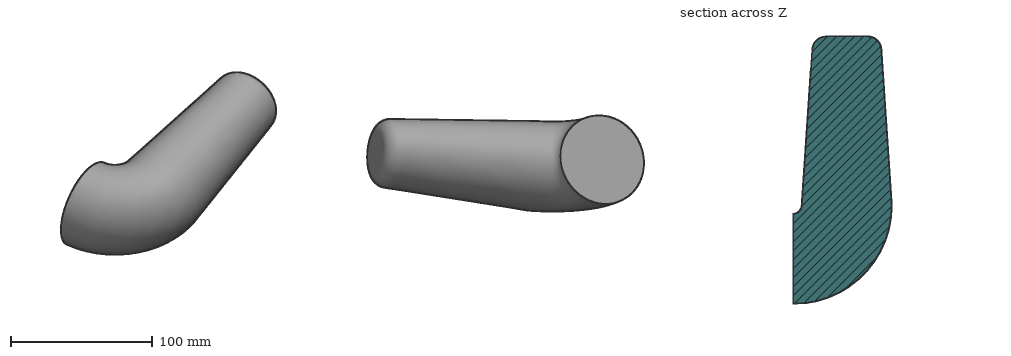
import cadquery as cq
import math

base_diameter = 64.0
tip_diameter = 48.0
inner_bend_radius = 6.0
grip_slant_length = 120.0
tip_round = 10.0

base_radius = base_diameter / 2
tip_radius = tip_diameter / 2
bend_radius = inner_bend_radius + base_radius
grip_length = math.sqrt(grip_slant_length**2 - (base_radius - tip_radius) ** 2)


def make_elbow():
    """Quarter-turn round tube from the flat end face at X = 0 to the +Y direction."""
    return (
        cq.Workplane("YZ")
        .circle(base_radius)
        .revolve(90, (bend_radius, 0, 0), (bend_radius, 1, 0))
    )


def make_grip():
    """Tapered grip along +Y with a rounded free end."""
    half_profile = (
        cq.Workplane("XY")
        .moveTo(bend_radius, bend_radius)
        .lineTo(bend_radius + base_radius, bend_radius)
        .lineTo(bend_radius + tip_radius, bend_radius + grip_length)
        .lineTo(bend_radius, bend_radius + grip_length)
        .close()
    )
    cone = half_profile.revolve(360, (bend_radius, 0, 0), (bend_radius, 1, 0))
    return cone.faces(">Y").edges().fillet(tip_round)


result = make_elbow().union(make_grip())